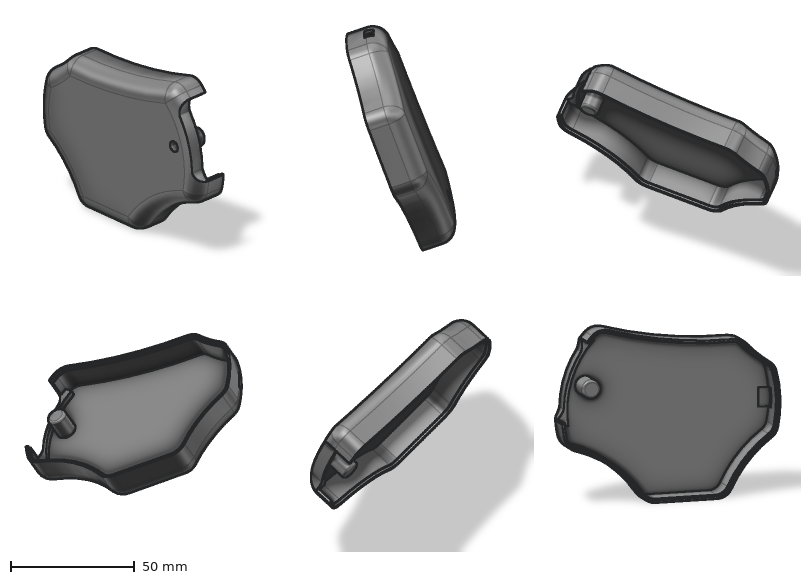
import cadquery as cq
import math

case_depth = 15.5
edge_radius = 7.0
wall = 1.5
floor_depth = 11.0
fillet_slack = 0.01

face_bottom = edge_radius
bottom_half_width = 13.0
face_corners = [
    ((-bottom_half_width, face_bottom), 0.0),
    ((bottom_half_width, face_bottom), -3.42),
    ((45.0, 30.1), 4.6),
    ((34.9, 65.87), -2.1),
    ((-20.55, 58.6), -0.45),
    ((-31.6, 49.4), 1.15),
    ((-32.2, 29.75), -1.88),
]
right_side = 2

lid_depth = 1.4
lip_wall = 1.0

window_depth = 8.65
scoop_depth = 14.6
scoop_inset = 3.5
window_start, window_end = -4.4, 39.5
scoop_flare = 5.5
flare_bulge = 0.5
backing_overlap = 4.0
cutter_margin = 5.0

slot_back, slot_front = 7.75, 11.5
slot_height = 8.0
slot_z = 38.65
slot_corner = 0.5
slot_reach = 10.0

hole_x, hole_z = 39.75, 48.15
hole_diameter = 4.5
hole_depth = 12.0
boss_diameter = 8.0
boss_back = lid_depth
boss_rounding = 1.1


def at_depth(depth):
    """Sketch plane parallel to the front face, facing -Y, this far in front of the open back."""
    return cq.Workplane("XZ", origin=(0, -depth, 0))


def side_middle(start, end, bulge):
    """Middle point of an arc from start to end, bulging to the right of the direction of travel."""
    length = math.dist(start, end)
    out_x = (end[1] - start[1]) / length
    out_z = (start[0] - end[0]) / length
    return (
        (start[0] + end[0]) / 2 + bulge * out_x,
        (start[1] + end[1]) / 2 + bulge * out_z,
    )


def side_ends(index):
    """Start and end corners of one side of the front face."""
    following = (index + 1) % len(face_corners)
    return face_corners[index][0], face_corners[following][0]


def outline_prism(offset, back, front):
    """Front face outline grown by offset, filling the case from depth back to depth front."""
    sketch = at_depth(back).moveTo(*face_corners[0][0])
    for index, (_, bulge) in enumerate(face_corners):
        start, end = side_ends(index)
        if bulge:
            sketch = sketch.threePointArc(side_middle(start, end, bulge), end)
        else:
            sketch = sketch.lineTo(*end)
    return sketch.close().offset2D(offset).extrude(front - back)


def body():
    """Solid case with its front edge rounded down to the outline of the front face."""
    block = outline_prism(edge_radius, 0, case_depth)
    return block.faces("<Y").edges().fillet(edge_radius - fillet_slack)


def right_arc():
    """Centre and radius of the right side of the front face."""
    start, end = side_ends(right_side)
    bulge = face_corners[right_side][1]
    half_chord = math.dist(start, end) / 2
    radius = (half_chord ** 2 + bulge ** 2) / (2 * bulge)
    return side_middle(start, end, bulge - radius), radius


arc_centre, arc_radius = right_arc()
outer_radius = arc_radius + edge_radius
scoop_floor = outer_radius - scoop_inset


def polar(radius, angle):
    """Point at a radius and an angle in degrees about the centre of the right side."""
    turn = math.radians(angle)
    return (
        arc_centre[0] + radius * math.cos(turn),
        arc_centre[1] + radius * math.sin(turn),
    )


def right_sector(inner, start, end, back, front):
    """Ring sector about the right side's centre, from an inner radius to beyond the case."""
    outer = outer_radius + cutter_margin
    middle = (start + end) / 2
    return (
        at_depth(back)
        .moveTo(*polar(inner, start))
        .lineTo(*polar(outer, start))
        .threePointArc(polar(outer, middle), polar(outer, end))
        .lineTo(*polar(inner, end))
        .threePointArc(polar(inner, middle), polar(inner, start))
        .close()
        .extrude(front - back)
    )


def window():
    """Opening through the right wall, between two radial ends."""
    return right_sector(arc_radius, window_start, window_end, 0, window_depth)


def scoop_backing():
    """Material that closes the case behind the scoop, one wall thick at the scoop's floor."""
    return right_sector(
        scoop_floor - wall,
        window_start - backing_overlap,
        window_end + backing_overlap,
        window_depth,
        floor_depth,
    )


def scoop():
    """Hollow in front of the window, its floor running out to the rim in a curve at each end."""
    outer = outer_radius + cutter_margin
    middle = (window_start + window_end) / 2
    lower_rim = polar(outer_radius, window_start)
    upper_rim = polar(outer_radius, window_end)
    lower_floor = polar(scoop_floor, window_start + scoop_flare)
    upper_floor = polar(scoop_floor, window_end - scoop_flare)
    return (
        at_depth(window_depth)
        .moveTo(*lower_rim)
        .lineTo(*polar(outer, window_start))
        .threePointArc(polar(outer, middle), polar(outer, window_end))
        .lineTo(*upper_rim)
        .threePointArc(side_middle(upper_rim, upper_floor, flare_bulge), upper_floor)
        .threePointArc(polar(scoop_floor, middle), lower_floor)
        .threePointArc(side_middle(lower_floor, lower_rim, flare_bulge), lower_rim)
        .close()
        .extrude(scoop_depth - window_depth)
    )


def cavity():
    """Inside of the case, leaving the wall behind the scoop and the boss around the hole."""
    inside = outline_prism(edge_radius - wall, 0, floor_depth)
    boss = (
        at_depth(boss_back)
        .center(hole_x, hole_z)
        .circle(boss_diameter / 2)
        .extrude(floor_depth - boss_back)
        .faces(">Y")
        .edges()
        .fillet(boss_rounding)
    )
    return inside.cut(scoop_backing()).cut(boss)


def cable_slot():
    """Opening with softened corners through the left wall, grooving the floor just inside it."""
    left_x = min(x for (x, _), _ in face_corners) - edge_radius
    return (
        cq.Workplane("XY")
        .box(slot_reach, slot_front - slot_back, slot_height)
        .edges("|X")
        .fillet(slot_corner)
        .translate((left_x, -(slot_back + slot_front) / 2, slot_z))
    )


def front_hole():
    """Blind round hole sunk from the front face."""
    return (
        at_depth(case_depth - hole_depth)
        .center(hole_x, hole_z)
        .circle(hole_diameter / 2)
        .extrude(hole_depth)
    )


case = body()
case = case.cut(cavity())
case = case.cut(outline_prism(edge_radius - lip_wall, 0, lid_depth))
case = case.cut(window())
case = case.cut(scoop())
case = case.cut(cable_slot())
result = case.cut(front_hole())